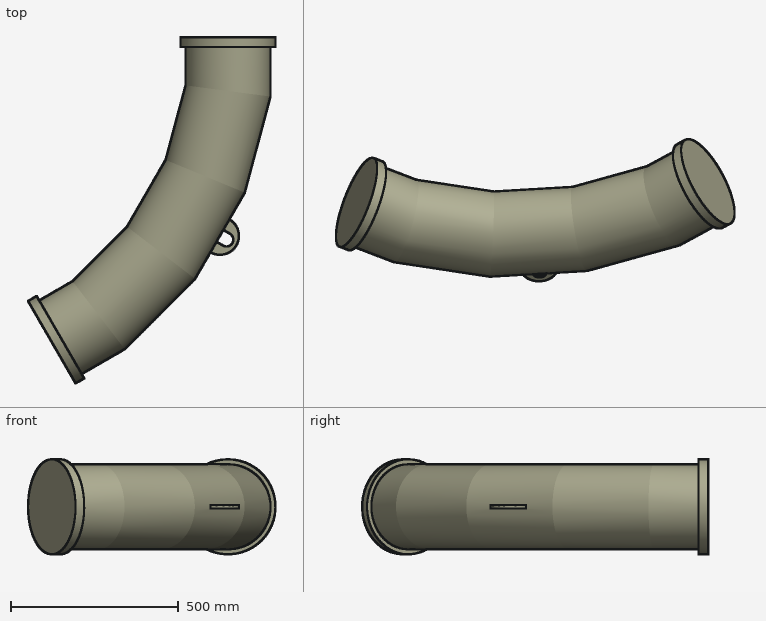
import cadquery as cq
import math

bend_radius = 1000.0
bend_angle = 60.0
miter_count = 4
pipe_diameter = 254.0
flange_diameter = 284.0
flange_thickness = 30.0

lug_radius = 57.0
lug_thickness = 10.0
lug_slot_width = 40.0
lug_tip_wall = 14.0

pipe_radius = pipe_diameter / 2
miter_step = bend_angle / miter_count
corner_radius = bend_radius / math.cos(math.radians(miter_step / 2))


def bend_point(radius, angle):
    """Point at a radius from the bend centre, turned clockwise from the bend start at the origin."""
    turn = math.radians(angle)
    return (radius * math.cos(turn) - bend_radius, -radius * math.sin(turn))


def make_pipe():
    corners = [bend_point(corner_radius, (i + 0.5) * miter_step) for i in range(miter_count)]
    axis_points = [bend_point(bend_radius, 0), *corners, bend_point(bend_radius, bend_angle)]
    axis = cq.Workplane("XY").polyline(axis_points)
    return cq.Workplane("XZ").circle(pipe_radius).sweep(axis, transition="right")


def make_flange(angle, side):
    """Solid end plate; side is +1 beyond the bend end and -1 before the bend start."""
    turn = math.radians(angle)
    outward = (-side * math.sin(turn), -side * math.cos(turn), 0)
    face = cq.Plane(origin=(*bend_point(bend_radius, angle), 0), xDir=(0, 0, 1), normal=outward)
    return cq.Workplane(face).circle(flange_diameter / 2).extrude(flange_thickness)


def make_lug():
    """Round plate centred on the pipe wall, with a round-ended slot running out from the pipe."""
    middle = bend_angle / 2
    turn = math.radians(middle)
    wall_point = bend_point(bend_radius + pipe_radius, middle)
    plane = cq.Plane(
        origin=(*wall_point, -lug_thickness / 2),
        xDir=(math.cos(turn), -math.sin(turn), 0),
        normal=(0, 0, 1),
    )
    slot_tip = lug_radius - lug_tip_wall
    plate = cq.Workplane(plane).circle(lug_radius).extrude(lug_thickness)
    slot = cq.Workplane(plane).slot2D(2 * slot_tip, lug_slot_width).extrude(lug_thickness)
    return plate.cut(slot)


result = (
    make_pipe()
    .union(make_flange(0, -1))
    .union(make_flange(bend_angle, 1))
    .union(make_lug())
)